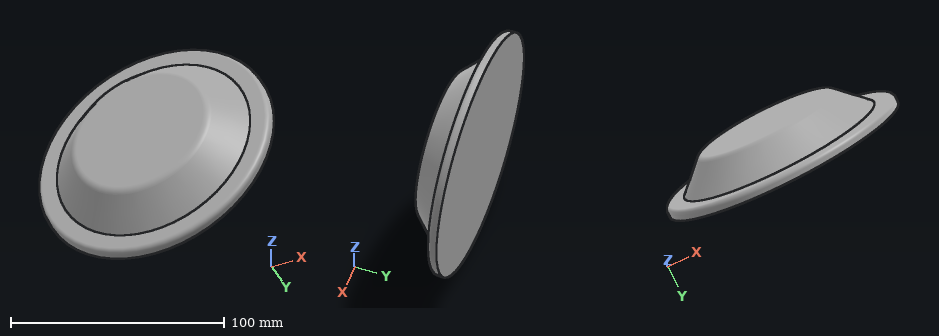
import cadquery as cq

flange_diameter = 120.0
flange_thickness = 5.0
total_depth = 20.0
cone_base_diameter = 100.0
rim_fillet = 2.5
nose_fillet = 5.0

cone_height = total_depth - flange_thickness
flange_radius = flange_diameter / 2
cone_base_radius = cone_base_diameter / 2
nose_radius = cone_base_radius - cone_height

body = (
    cq.Workplane("XY")
    .polyline([
        (0, 0),
        (flange_radius, 0),
        (flange_radius, -flange_thickness),
        (cone_base_radius, -flange_thickness),
        (nose_radius, -total_depth),
        (0, -total_depth),
    ])
    .close()
    .revolve(360, (0, 0, 0), (0, 1, 0))
)

flange_front_edge = cq.selectors.RadiusNthSelector(-1)
body = body.faces(cq.selectors.NearestToPointSelector(
    ((flange_radius + cone_base_radius) / 2, -flange_thickness, 0)
)).edges(flange_front_edge).fillet(rim_fillet)

result = body.faces("<Y").edges().fillet(nose_fillet)